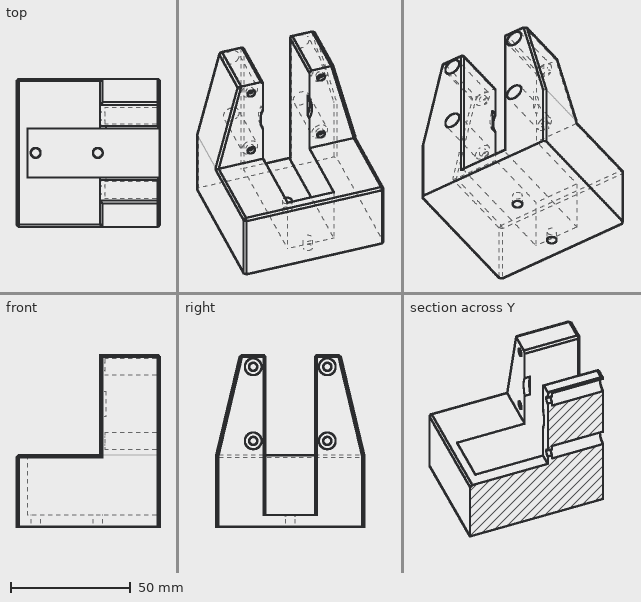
import cadquery as cq

length = 60.0
width = 62.0
base_height = 30.0
edge_chamfer = 1.0

cheek_start_x = 35.0
cheek_thickness = length - cheek_start_x
total_height = 72.0
cheek_top_width = 42.0

slot_start_x = 4.5
slot_width = 20.5
slot_floor_z = 5.0

floor_hole_diameter = 4.0
floor_hole_first_x = 8.0
floor_hole_spacing = 26.0

cheek_hole_diameter = 3.3
cheek_hole_spacing = 31.0
counterbore_diameter = 7.0
counterbore_web = 2.0
pattern_center_z = 51.5
recess_diameter = 23.0
recess_depth = 2.5


def slotted_base():
    """Base block with broken upright and top edges and the slot cut into it."""
    block = cq.Workplane("XY").box(length, width, base_height, centered=(False, True, False))
    block = block.edges("|Z or (>Z and (<X or <Y or >Y))").chamfer(edge_chamfer)
    slot = cq.Workplane("XY", origin=(slot_start_x, 0, slot_floor_z)).box(
        length - slot_start_x, slot_width, base_height, centered=(False, True, False)
    )
    return block.cut(slot)


def cheek():
    """The +Y cheek, reaching down to Z = 0 so that it fills the side of the base."""
    inner_y = slot_width / 2
    blank = (
        cq.Workplane("YZ", origin=(cheek_start_x, 0, 0))
        .moveTo(inner_y, 0)
        .lineTo(width / 2, 0)
        .lineTo(width / 2, base_height)
        .lineTo(cheek_top_width / 2, total_height)
        .lineTo(inner_y, total_height)
        .close()
        .extrude(cheek_thickness)
    )
    slope_edges = blank.faces("not (|X or <Y or >Y or <Z or >Z)").edges("not |X")
    upright_edges = blank.faces(">Y").edges("|Z")
    top_edges = blank.faces(">Z").edges("|X or >X")
    return slope_edges.add(upright_edges).add(top_edges).chamfer(edge_chamfer)


def floor_holes():
    """Through holes in the slot floor."""
    last_x = floor_hole_first_x + floor_hole_spacing
    return (
        cq.Workplane("XY")
        .pushPoints([(floor_hole_first_x, 0), (last_x, 0)])
        .circle(floor_hole_diameter / 2)
        .extrude(base_height)
    )


def hole_pattern(diameter, start_x):
    """Square pattern of cylinders along X, from start_x to the +X face."""
    return (
        cq.Workplane("YZ", origin=(start_x, 0, pattern_center_z))
        .rarray(cheek_hole_spacing, cheek_hole_spacing, 2, 2)
        .circle(diameter / 2)
        .extrude(length - start_x)
    )


def cheek_holes():
    """Screw holes through both cheeks, with deep counterbores from the +X face."""
    screw_holes = hole_pattern(cheek_hole_diameter, cheek_start_x)
    counterbores = hole_pattern(counterbore_diameter, cheek_start_x + counterbore_web)
    return screw_holes.union(counterbores)


def round_recess():
    """Shallow round recess cut into the -X faces of both cheeks."""
    return (
        cq.Workplane("YZ", origin=(cheek_start_x, 0, pattern_center_z))
        .circle(recess_diameter / 2)
        .extrude(recess_depth)
    )


def body():
    """Slotted base with both cheeks, and the mouth of the slot broken at +X."""
    plus_y_cheek = cheek()
    joined = slotted_base().union(plus_y_cheek).union(plus_y_cheek.mirror("XZ")).clean()
    slot_mouth = cq.selectors.BoxSelector(
        (length - edge_chamfer, -slot_width, 0),
        (length + edge_chamfer, slot_width, total_height),
    )
    return joined.edges("|Z").edges(slot_mouth).chamfer(edge_chamfer)


result = body().cut(floor_holes()).cut(cheek_holes()).cut(round_recess())